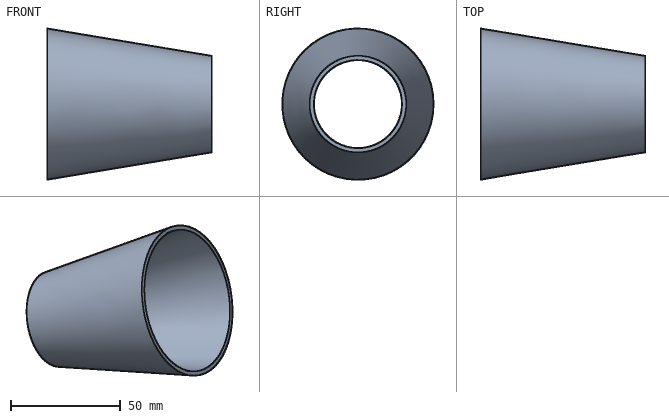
import cadquery as cq

length = 75.0
wide_outer_diameter = 69.0
narrow_outer_diameter = 44.0
radial_wall = 2.0

wide_outer_radius = wide_outer_diameter / 2
narrow_outer_radius = narrow_outer_diameter / 2

wall_section = (
    cq.Workplane("XY")
    .moveTo(0, wide_outer_radius - radial_wall)
    .lineTo(0, wide_outer_radius)
    .lineTo(length, narrow_outer_radius)
    .lineTo(length, narrow_outer_radius - radial_wall)
    .close()
)

result = wall_section.revolve(360, (0, 0, 0), (1, 0, 0))